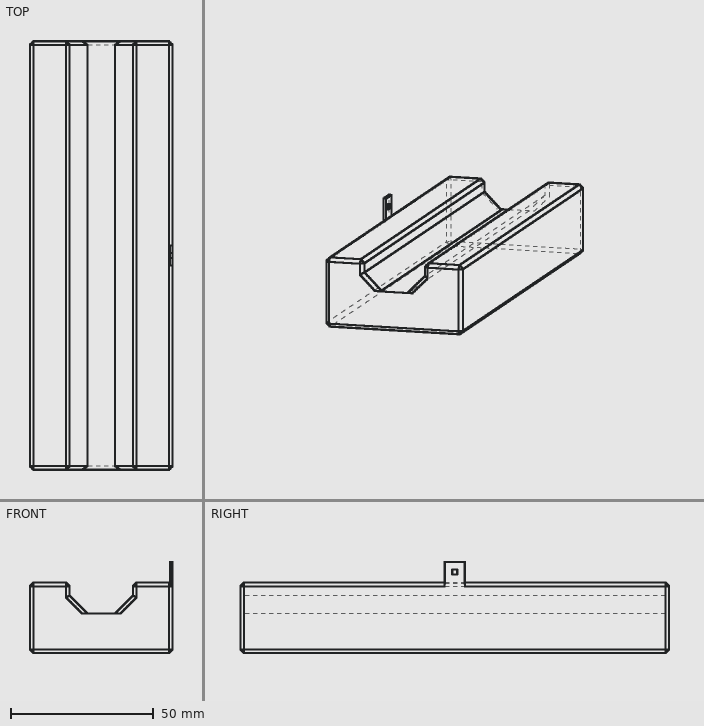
import cadquery as cq

length = 150
width = 50.0
body_height = 24.8
chamfer = 1.4

groove_width = 22.0
groove_depth = 10.8
wall_depth = 4.6
flank_drop = groove_depth - wall_depth
floor_width = groove_width - 2 * flank_drop

tab_size = 7.0
tab_rise = 7.2
tab_thickness = 0.9
hole_side = 1.6

total_height = body_height + tab_rise


def make_block():
    """Body with its long groove, before edge breaking."""
    wall_x = groove_width / 2
    floor_x = floor_width / 2
    floor_z = body_height - groove_depth
    wall_foot_z = body_height - wall_depth
    right_half = [
        (0, 0),
        (width / 2, 0),
        (width / 2, body_height),
        (wall_x, body_height),
        (wall_x, wall_foot_z),
        (floor_x, floor_z),
        (0, floor_z),
    ]
    half_block = cq.Workplane("XZ").polyline(right_half).close().extrude(length / 2, both=True)
    return half_block.union(half_block.mirror("YZ")).clean()


def break_edges(block):
    """Chamfer the rims of the top, bottom and end faces, leaving the groove floor sharp."""
    margin = 0.02
    floor_z = body_height - groove_depth
    floor_zone = cq.selectors.BoxSelector(
        (-floor_width / 2, -length, floor_z - margin),
        (floor_width / 2, length, floor_z + margin),
    )
    rims = block.faces(">Z or <Z or >Y or <Y").edges(cq.selectors.InverseSelector(floor_zone))
    return rims.chamfer(chamfer)


def make_tab():
    """Thin plate flush with the +X side, with a square hole along X, rooted in the edge chamfer."""
    root_z = body_height - chamfer
    plate = cq.Workplane("XY").box(
        tab_thickness, tab_size, total_height - root_z, centered=(False, True, False)
    ).translate((width / 2 - tab_thickness, 0, root_z))
    hole = (
        cq.Workplane("YZ")
        .center(0, total_height - tab_size / 2)
        .rect(hole_side, hole_side)
        .extrude(width)
    )
    return plate.cut(hole)


result = break_edges(make_block()).union(make_tab())